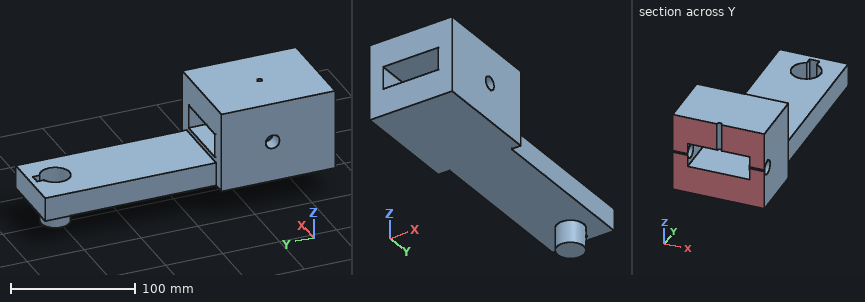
import cadquery as cq

total_length = 250.0
block_width = 80.0
block_length = 100.0
block_height = 71.0
arm_width = 60.0
arm_thickness = 21.0
arm_offset = 1.0

slot_width = 53.5
slot_height = arm_thickness
slot_floor = 25.0

cross_hole_diameter = 12.0
cross_hole_y = 55.0
cross_hole_z = 36.0
top_hole_diameter = 4.0
top_hole_x = 0.8
top_hole_y = 49.0

pin_diameter = 25.0
pin_length = 21.0
pin_x = 3.8
pin_y = total_length - 23.0
keyway_width = 8.5
keyway_end_y = total_length - 5.2


def box_on_base(width, length, height, x_center, y_start, z_start=0.0):
    """Box centred on x_center, starting at the given Y and Z."""
    return (
        cq.Workplane("XY", origin=(x_center, y_start, z_start))
        .box(width, length, height, centered=(True, False, False))
    )


def keyed_bore():
    """Round bore through the arm with a keyway toward the arm's end."""
    bore = cq.Workplane("XY", origin=(pin_x, pin_y, 0)).circle(pin_diameter / 2).extrude(arm_thickness)
    keyway = box_on_base(keyway_width, keyway_end_y - pin_y, arm_thickness, pin_x, pin_y)
    return bore.union(keyway)


def cross_hole():
    """Hole along X through both side walls of the block."""
    return (
        cq.Workplane("YZ", origin=(-block_width / 2, cross_hole_y, cross_hole_z))
        .circle(cross_hole_diameter / 2)
        .extrude(block_width)
    )


def top_hole():
    """Small hole from the top of the block down into the slot."""
    slot_ceiling = slot_floor + slot_height
    return (
        cq.Workplane("XY", origin=(top_hole_x, top_hole_y, slot_ceiling))
        .circle(top_hole_diameter / 2)
        .extrude(block_height - slot_ceiling)
    )


def make_holder():
    """Slotted block with its flat arm, as one solid."""
    block = box_on_base(block_width, block_length, block_height, 0, 0)
    arm = box_on_base(arm_width, total_length - block_length, arm_thickness, arm_offset, block_length)
    slot = box_on_base(slot_width, block_length, slot_height, 0, 0, slot_floor)
    return block.union(arm).cut(slot).cut(cross_hole()).cut(top_hole()).cut(keyed_bore())


def make_pin():
    """Plain round pin below the arm, in line with the bore."""
    return (
        cq.Workplane("XY", origin=(pin_x, pin_y, -pin_length))
        .circle(pin_diameter / 2)
        .extrude(pin_length)
    )


holder = make_holder()
pin = make_pin()
result = cq.Compound.makeCompound([holder.val(), pin.val()])